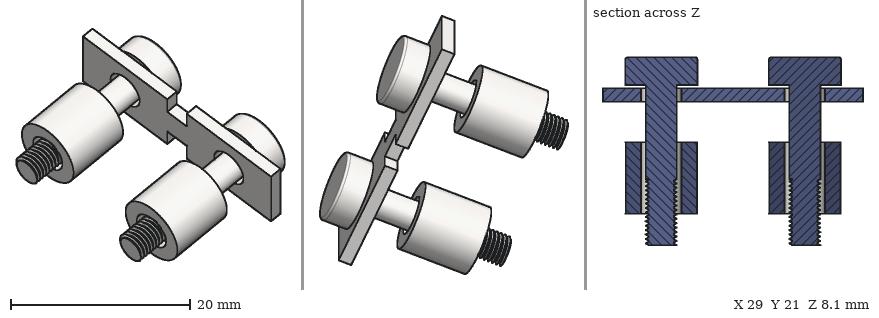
import cadquery as cq

plate_length = 29.0
plate_height = 8.0
plate_thickness = 1.55
web_length = 3.0
web_height = 3.5

screw_spacing = 16.0
clearance_diameter = 4.5

spacer_diameter = plate_height
spacer_length = 8.0
plate_to_spacer_gap = 4.5

head_diameter = 8.1
head_length = 3.1
head_edge_radius = 0.3
head_to_plate_gap = 0.35
shank_diameter = 3.5
tip_protrusion = 3.5

thread_major_diameter = 3.5
thread_root_diameter = 2.87
thread_pitch = 0.5
thread_base_width = 0.44
thread_root_overlap = 0.05
thread_turns = 15

spacer_back_y = -plate_to_spacer_gap
spacer_front_y = spacer_back_y - spacer_length
tip_y = spacer_front_y - tip_protrusion
head_seat_y = plate_thickness + head_to_plate_gap
thread_length = thread_turns * thread_pitch
head_seat_height = head_seat_y - tip_y
screw_positions = [-screw_spacing / 2, screw_spacing / 2]


def make_plate():
    """Plate with edge notches that leave the web, and one clearance hole per screw."""
    plate = cq.Workplane("XY").box(plate_length, plate_thickness, plate_height)
    web_window = cq.Workplane("XY").box(web_length, plate_thickness, plate_height)
    web = cq.Workplane("XY").box(web_length, plate_thickness, web_height)
    plate = plate.cut(web_window.cut(web))
    plate = (
        plate.faces("<Y").workplane(origin=(0, 0, 0))
        .pushPoints([(x, 0) for x in screw_positions])
        .hole(clearance_diameter)
    )
    return plate.translate((0, plate_thickness / 2, 0))


def make_spacer(x):
    """Plain tube lying along Y."""
    return (
        cq.Workplane("XZ", origin=(x, spacer_back_y, 0))
        .circle(spacer_diameter / 2)
        .circle(clearance_diameter / 2)
        .extrude(spacer_length)
    )


def make_thread_ridge():
    """Right-handed triangular ridge along Z, starting below the tip plane at z = 0."""
    run_in = 2 * thread_pitch
    root_radius = thread_root_diameter / 2
    inner_radius = root_radius - thread_root_overlap
    helix = cq.Wire.makeHelix(thread_pitch, thread_length + run_in, root_radius)
    ridge = (
        cq.Workplane("XZ")
        .moveTo(inner_radius, -thread_base_width / 2)
        .lineTo(thread_major_diameter / 2, 0)
        .lineTo(inner_radius, thread_base_width / 2)
        .close()
        .sweep(cq.Workplane(helix), isFrenet=True)
        .translate((0, 0, -run_in))
    )
    below_tip = (
        cq.Workplane("XY")
        .circle(thread_major_diameter)
        .extrude(-2 * run_in)
    )
    return ridge.cut(below_tip)


def make_screw(x):
    """Screw built upward from its tip along Z, then laid along Y with the tip toward -Y."""
    core = cq.Workplane("XY").circle(thread_root_diameter / 2).extrude(thread_length)
    shank = (
        cq.Workplane("XY", origin=(0, 0, thread_length))
        .circle(shank_diameter / 2)
        .extrude(head_seat_height - thread_length)
    )
    head = (
        cq.Workplane("XY", origin=(0, 0, head_seat_height))
        .circle(head_diameter / 2)
        .extrude(head_length)
        .faces(">Z").edges().fillet(head_edge_radius)
    )
    screw = core.union(make_thread_ridge()).union(shank).union(head)
    return screw.rotate((0, 0, 0), (1, 0, 0), -90).translate((x, tip_y, 0))


plate = make_plate()
spacers = [make_spacer(x) for x in screw_positions]
screws = [make_screw(x) for x in screw_positions]

result = cq.Compound.makeCompound(
    [plate.solids().val()]
    + [spacer.solids().val() for spacer in spacers]
    + [screw.solids().val() for screw in screws]
)